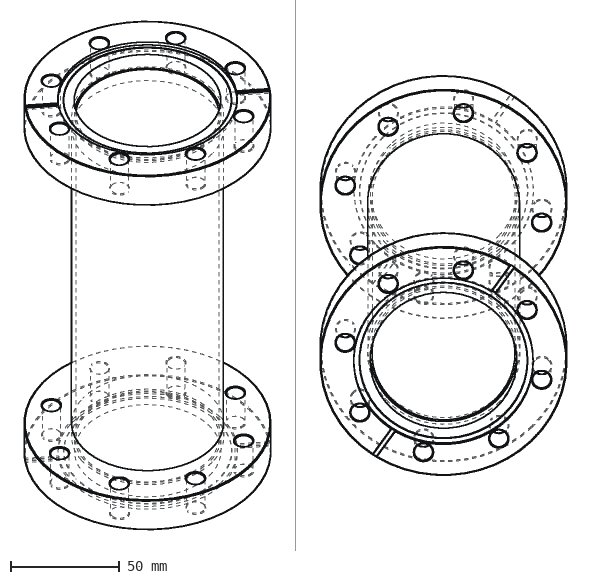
import cadquery as cq
import math

total_length = 209.5
half_length = total_length / 2

tube_outer_radius = 35.0
tube_inner_radius = 33.0

flange_radius = 56.8
flange_thickness = 17.6
edge_chamfer = 0.5
flange_bore_radius = 33.7
tube_end_depth = 9.5

recess_radius = 41.3
knife_radius = 38.8
floor_radius = 38.5
recess_depth = 1.7
knife_depth = 1.0
floor_depth = 1.3

bolt_count = 8
bolt_pitch = 360.0 / bolt_count
bolt_circle_radius = 46.1
bolt_hole_radius = 4.2
bolt_hole_chamfer = 0.5
first_bolt_angle = bolt_pitch / 4

groove_angle = first_bolt_angle + 1.5 * bolt_pitch
groove_width = 2.0
groove_depth = 0.8


def make_flange_blank():
    """Disc with chamfered rims, bored through, with a socket for the tube at its back."""
    back = half_length - flange_thickness
    socket_depth = flange_thickness - tube_end_depth
    disc = (
        cq.Workplane("XY", origin=(0, 0, back))
        .circle(flange_radius)
        .extrude(flange_thickness)
        .edges()
        .chamfer(edge_chamfer)
    )
    bore = cq.Workplane("XY", origin=(0, 0, back)).circle(flange_bore_radius).extrude(flange_thickness)
    socket = cq.Workplane("XY", origin=(0, 0, back)).circle(tube_outer_radius).extrude(socket_depth)
    return disc.cut(bore).cut(socket)


def make_sealing_recess():
    """Round cutter for the gasket recess, leaving a cone that rises inward to the knife edge."""
    profile = [
        (0, half_length),
        (recess_radius, half_length),
        (recess_radius, half_length - recess_depth),
        (knife_radius, half_length - knife_depth),
        (floor_radius, half_length - floor_depth),
        (0, half_length - floor_depth),
    ]
    return cq.Workplane("XZ").polyline(profile).close().revolve(360, (0, 0), (0, 1))


def make_bolt_holes():
    """Cutters on the bolt circle, each a cylinder that widens into a chamfer at both flange faces."""
    face = half_length
    back = half_length - flange_thickness
    mouth_radius = bolt_hole_radius + bolt_hole_chamfer
    profile = [
        (0, back),
        (mouth_radius, back),
        (bolt_hole_radius, back + bolt_hole_chamfer),
        (bolt_hole_radius, face - bolt_hole_chamfer),
        (mouth_radius, face),
        (0, face),
    ]
    cutter = cq.Workplane("XZ").polyline(profile).close().revolve(360, (0, 0), (0, 1)).val()
    return (
        cq.Workplane("XY")
        .polarArray(bolt_circle_radius, first_bolt_angle, 360, bolt_count)
        .eachpoint(lambda place: cutter.moved(place))
    )


def make_leak_grooves():
    """Two opposite radial grooves in the face, from the recess out through the rim."""
    bar = (
        cq.Workplane("XY", origin=(0, 0, half_length - groove_depth))
        .rect(2 * flange_radius, groove_width)
        .extrude(groove_depth)
    )
    core = (
        cq.Workplane("XY", origin=(0, 0, half_length - groove_depth))
        .circle(recess_radius)
        .extrude(groove_depth)
    )
    return bar.cut(core).rotate((0, 0, 0), (0, 0, 1), groove_angle)


def make_flange():
    """Flange at the top end of the tube."""
    return (
        make_flange_blank()
        .cut(make_sealing_recess())
        .cut(make_bolt_holes())
        .cut(make_leak_grooves())
    )


def make_tube():
    """Straight tube whose ends sit in the flange sockets."""
    bottom = tube_end_depth - half_length
    return (
        cq.Workplane("XY", origin=(0, 0, bottom))
        .circle(tube_outer_radius)
        .circle(tube_inner_radius)
        .extrude(-2 * bottom)
    )


tube = make_tube()

groove_direction = (math.cos(math.radians(groove_angle)), math.sin(math.radians(groove_angle)), 0)
flanges = []
for turn_angle in (0, 180):
    flanges.append(make_flange().rotate((0, 0, 0), groove_direction, turn_angle))

result = cq.Compound.makeCompound([tube.val(), *[flange.val() for flange in flanges]])